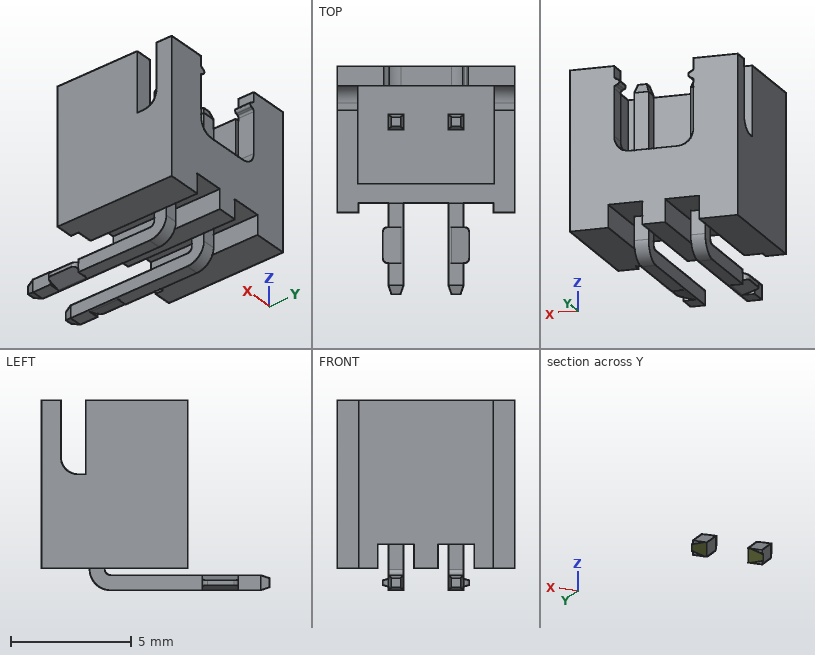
import cadquery as cq
import math


width = 7.4
depth = 6.1
height = 7.0
side_wall = 0.85
back_wall = 0.82
front_wall = 0.8
front_recess_width = 5.6
front_recess_depth = 0.4
floor_top = 2.0
back_wall_face = depth - back_wall

slot_radius = 0.7
side_slot_width = 1.02
side_slot_depth = 3.08
back_slot_width = 3.5
back_slot_depth = 3.75

bump_reach = 0.23
bump_radius = 0.12
bump_flank_angle = math.radians(65)
bump_drop = 0.7
bump_z = height - bump_drop

pitch = 2.5
pin_positions = (-pitch / 2, pitch / 2)
pin_size = 0.64
pin_back_gap = 2.0
pin_y = depth - pin_back_gap - pin_size / 2
pin_top = 6.75
pin_bottom = -0.92
pin_end_y = -3.4
bend_inner_radius = 0.25
taper_length = 0.38
taper_tip = 0.38
tail_z = pin_bottom + pin_size / 2

channel_width = 1.5
channel_height = 1.0

wing_start_y = -0.6
wing_length = 1.5
wing_inner = 0.2
wing_outer = 0.55
wing_edge_height = 0.2
wing_corner_radius = 0.2


def box(x_min, x_max, y_min, y_max, z_min, z_max):
    """Block spanning the given limits."""
    size = (x_max - x_min, y_max - y_min, z_max - z_min)
    return cq.Workplane("XY").box(*size, centered=False).translate((x_min, y_min, z_min))


def side_slots():
    """Slot through both side walls, rounded at the bottom on the back wall side."""
    slot = box(-width / 2, width / 2, back_wall_face - side_slot_width, back_wall_face,
               height - side_slot_depth, height)
    return slot.edges("|X and >Y and <Z").fillet(slot_radius)


def back_slot():
    """Slot through the back wall with both bottom corners rounded."""
    slot = box(-back_slot_width / 2, back_slot_width / 2, back_wall_face, depth,
               height - back_slot_depth, height)
    return slot.edges("|Y and <Z").fillet(slot_radius)


def bump_profile_points():
    """Upper half of the bump profile as (reach, rise) points, from the base to the middle of the tip arc."""
    def across(angle):
        return bump_radius * (1 - math.cos(angle))

    def along(angle):
        return bump_radius * math.sin(angle)

    full = bump_flank_angle
    half = full / 2
    flank_reach = bump_reach - 2 * across(full)
    half_height = 2 * along(full) + flank_reach / math.tan(full)
    base = (0, half_height)
    base_middle = (across(half), half_height - along(half))
    flank_start = (across(full), half_height - along(full))
    flank_end = (bump_reach - across(full), along(full))
    tip_middle = (bump_reach - across(half), along(half))
    return base, base_middle, flank_start, flank_end, tip_middle


def latch_bump(side):
    """Ridge with blended base and rounded tip on one edge of the back slot; side is -1 or 1."""
    def upper(point):
        reach, rise = point
        return (side * (back_slot_width / 2 - reach), bump_z + rise)

    def lower(point):
        reach, rise = point
        return upper((reach, -rise))

    base, base_middle, flank_start, flank_end, tip_middle = bump_profile_points()
    tip = (bump_reach, 0)
    return (
        cq.Workplane("XZ", origin=(0, depth, 0))
        .moveTo(*upper(base))
        .threePointArc(upper(base_middle), upper(flank_start))
        .lineTo(*upper(flank_end))
        .threePointArc(upper(tip_middle), upper(tip))
        .threePointArc(lower(tip_middle), lower(flank_end))
        .lineTo(*lower(flank_start))
        .threePointArc(lower(base_middle), lower(base))
        .close()
        .extrude(back_wall)
    )


def make_housing():
    """Box with front recess, cavity, slots, latch bumps, bottom channels and pin holes."""
    body = box(-width / 2, width / 2, 0, depth, 0, height)
    body = body.cut(box(-front_recess_width / 2, front_recess_width / 2, 0, front_recess_depth, 0, height))
    cavity_x = width / 2 - side_wall
    cavity_front = front_recess_depth + front_wall
    body = body.cut(box(-cavity_x, cavity_x, cavity_front, back_wall_face, floor_top, height))
    body = body.cut(side_slots()).cut(back_slot())
    for side in (-1, 1):
        body = body.union(latch_bump(side))
    half_channel = channel_width / 2
    half_pin = pin_size / 2
    for x in pin_positions:
        body = body.cut(box(x - half_channel, x + half_channel, 0, depth, 0, channel_height))
        body = body.cut(box(x - half_pin, x + half_pin, pin_y - half_pin, pin_y + half_pin, 0, floor_top))
    return body


def taper(plane):
    """Square pyramid frustum that ends a pin, grown from the given plane."""
    return (
        cq.Workplane(plane)
        .rect(pin_size, pin_size)
        .workplane(offset=taper_length)
        .rect(taper_tip, taper_tip)
        .loft(ruled=True)
    )


def tail_wing(side):
    """Wing tapering from full pin height down to a thin rounded-corner outer edge."""
    inner_x = -side * wing_inner
    outer_x = side * wing_outer
    profile = [
        (inner_x, tail_z - pin_size / 2),
        (outer_x, tail_z - wing_edge_height / 2),
        (outer_x, tail_z + wing_edge_height / 2),
        (inner_x, tail_z + pin_size / 2),
    ]
    wedge = cq.Workplane("XZ", origin=(0, wing_start_y, 0)).polyline(profile).close().extrude(wing_length)
    outer_corners = ">X" if side > 0 else "<X"
    outline = box(min(inner_x, outer_x), max(inner_x, outer_x), wing_start_y - wing_length, wing_start_y,
                  pin_bottom, pin_bottom + pin_size)
    return wedge.intersect(outline.edges(f"|Z and {outer_corners}").fillet(wing_corner_radius))


def make_pin(x, side):
    """Bent pin at x, its wing pointing toward side (-1 or 1)."""
    half = pin_size / 2
    bend_radius = bend_inner_radius + half
    path = (
        cq.Workplane("YZ")
        .moveTo(pin_y, pin_top - taper_length)
        .lineTo(pin_y, tail_z + bend_radius)
        .radiusArc((pin_y - bend_radius, tail_z), bend_radius)
        .lineTo(pin_end_y + taper_length, tail_z)
    )
    top_plane = cq.Plane((0, pin_y, pin_top - taper_length), (1, 0, 0), (0, 0, 1))
    tail_plane = cq.Plane((0, pin_end_y + taper_length, tail_z), (1, 0, 0), (0, -1, 0))
    pin = cq.Workplane(top_plane).rect(pin_size, pin_size).sweep(path)
    pin = pin.union(taper(top_plane)).union(taper(tail_plane))

    inner_x = -side * wing_inner
    edge_x = side * half
    pressed = box(min(inner_x, edge_x), max(inner_x, edge_x), wing_start_y - wing_length, wing_start_y,
                  pin_bottom, pin_bottom + pin_size)
    pin = pin.cut(pressed).union(tail_wing(side))
    return pin.translate((x, 0, 0))


housing = make_housing().solids()
pins = []
for pin_x in pin_positions:
    wing_side = 1 if pin_x > 0 else -1
    pins.append(make_pin(pin_x, wing_side).solids().val())

result = cq.Compound.makeCompound([housing.val(), *pins])